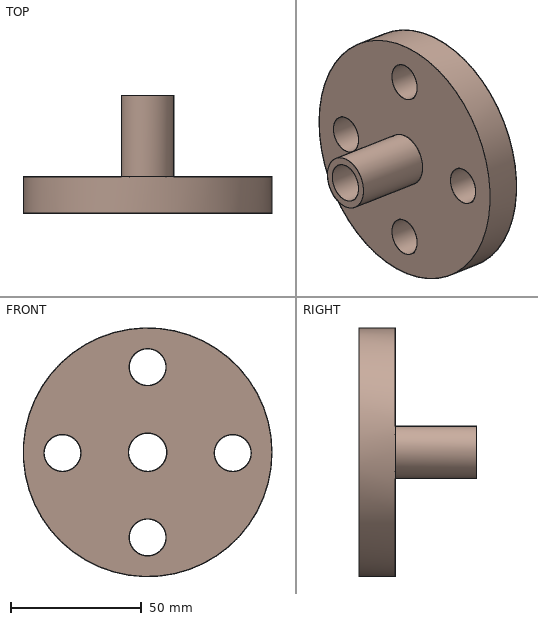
import cadquery as cq

flange_diameter = 95.0
flange_thickness = 14.0

overall_depth = 45.0
stem_diameter = 20.0
bore_diameter = 14.5

bolt_hole_diameter = 14.0
bolt_circle_diameter = 65.0
side_hole_drop = 0.3


def cylinder_along_y(diameter, length):
    """Cylinder on the Y axis, running from the front face at Y = 0 towards +Y."""
    return cq.Workplane("XZ").circle(diameter / 2).extrude(-length)


def bolt_holes():
    """Cutters for the four bolt holes: top, bottom, left and right."""
    bolt_radius = bolt_circle_diameter / 2
    centres = [
        (0, bolt_radius),
        (0, -bolt_radius),
        (bolt_radius, -side_hole_drop),
        (-bolt_radius, -side_hole_drop),
    ]
    return (
        cq.Workplane("XZ")
        .pushPoints(centres)
        .circle(bolt_hole_diameter / 2)
        .extrude(-flange_thickness)
    )


flange = cylinder_along_y(flange_diameter, flange_thickness).cut(bolt_holes())
stem = cylinder_along_y(stem_diameter, overall_depth)
bore = cylinder_along_y(bore_diameter, overall_depth)

result = flange.union(stem).cut(bore)